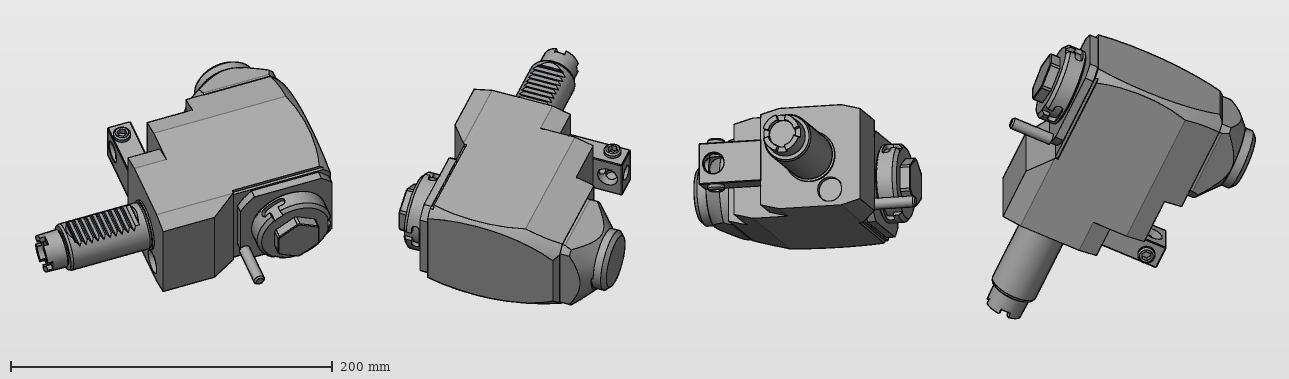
import cadquery as cq
import math


SPINDLE_Y = 85.2
HALF_DEPTH = 32.0
FOOT_HALF_WIDTH = 32.0
TAPER_ANGLE = 15
TAPER_SLOPE = math.tan(math.radians(TAPER_ANGLE))
TOP_Y = 115.2
HEAD_LEFT = -66.8
HEAD_RIGHT = 19.7
HEAD_BOTTOM = 51.2
WAIST_LEFT = -55.0
WAIST_BOTTOM = 21.2
FLAT_LEFT = -42.9
FOOT_FLAT = 20.0
FOOT_SHOULDER = 34.0
HEAD_CHAMFER = 3.3
HEAD_RIM_WIDTH = 1.8
HEAD_RIM_STEP = 1.8
BARREL_CENTER_X = -12.5
BARREL_RADIUS = 42.3
BARREL_ARC_RADIUS = 174.8
PLUG_X = 12.5
PLUG_Z = -21.5
PLUG_RADIUS = 7.7
PLUG_DEPTH = 3.7

CAP_RADIUS = 33.3
CAP_SHOULDER = -73.0
CAP_FACE = -86.3
CAP_RELIEF_DEPTH = 1.1
CAP_TOP = 111.1
CAP_RIM_WIDTH = 1.8
NOSE_END = -94.0
NOSE_RADIUS = 19.3
NOSE_CHAMFER = 2.8

FLANGE_END = 25.0
FLANGE_RADIUS = 36.5
FLANGE_HALF_DEPTH = 28.9
FLANGE_TOP = 114.5
FLANGE_BOTTOM = 53.7
NECK_RADIUS = 23.0
COLLAR_START = 26.0
COLLAR_END = 38.3
COLLAR_RADIUS = 24.5
COLLAR_CHAMFER = 2.2
COLLAR_SLOT_X = 30.2
COLLAR_SLOT_WIDTH = 5.2
COLLAR_SLOT_DEPTH = 2.8
COLLAR_SLOT_HALF_ANGLE = 20.5
COLLAR_SLOT_COUNT = 3
COLLAR_SLOT_START_ANGLE = 30
KEYWAY_WIDTH = 6.3
NUT_END = 44.9
NUT_FLATS = 27.2
NUT_CORNERS = 30.4
NUT_CHAMFER = 0.5

PIN_END = 52.5
PIN_Y = 56.5
PIN_Z = -19.1
PIN_RADIUS = 3.5
PIN_CHAMFER = 1.1

BLOCK_LEFT = -72.3
BLOCK_BOTTOM = 1.1
BLOCK_TOP = 16.4
BLOCK_Y = (BLOCK_BOTTOM + BLOCK_TOP) / 2
BLOCK_HALF_DEPTH = 13.0
BLOCK_CHAMFER = 0.5
PORT_X = -62.7
PORT_RADIUS = 6.6
PORT_CHAMFER = 0.4
SIDE_PORT_RADIUS = 4.8
SIDE_PORT_END = -51.5
SIDE_SOCKET_RADIUS = 1.5
SIDE_SOCKET_DEPTH = 1.8
SCREW_Y = 7.4
SCREW_RADIUS = 5.3
SCREW_TOP = 16.2
SCREW_CHAMFER = 1.1
SCREW_BORE_RADIUS = 4.0
SCREW_BORE_HALF_LENGTH = 8.0
SOCKET_RADIUS = 3.1
SOCKET_DEPTH = 4.0

SHANK_DIAMETER = 30.0
SHANK_RADIUS = SHANK_DIAMETER / 2
SHANK_END = -54.6
SHANK_CHAMFER = 0.7
SHANK_CHAMFER_LENGTH = 1.7
COLLAR_RING_RADIUS = 16.0
COLLAR_RING_HEIGHT = 1.1
SHANK_NECK_STEP = 0.5
SHANK_NECK_END = 2.4
TOOTH_COUNT = 10
TOOTH_ROOT_SPAN = 35.9
TOOTH_PITCH = TOOTH_ROOT_SPAN / (TOOTH_COUNT - 1)
TOOTH_TIP_Z = 12.3
TOOTH_ROOT_Z = 10.5
FIRST_ROOT_Y = -11.5
TOOTH_RISE_RUN = 1.5
TOOTH_TIP_WIDTH = 1.0
RACK_START = -6.0
RACK_FLAT_START = -7.2
RACK_RUNOUT_Z = 13.5
RACK_FLAT_END = -9.8
RACK_END = -52.3

DRIVE_END = -68.8
DRIVE_START = -55.8
DRIVE_NECK_RADIUS = 11
DRIVE_RADIUS = 12.1
DRIVE_TIP_RADIUS = 11.8
DRIVE_BORE_RADIUS = 8.5
DRIVE_BORE_FLOOR = -64.4
DRIVE_SLOT_FLOOR = -65.5
DRIVE_SLOT_INNER_WIDTH = 4.5
DRIVE_SLOT_OUTER_WIDTH = 7.2
DRIVE_SLOT_COUNT = 4


def box(x0, x1, y0, y1, z0, z1):
    return cq.Workplane("XY").box(x1 - x0, y1 - y0, z1 - z0, centered=False).translate((x0, y0, z0))


def cylinder_x(x0, x1, y, z, radius):
    return cq.Workplane("YZ", origin=(x0, y, z)).circle(radius).extrude(x1 - x0)


def cylinder_y(y0, y1, x, z, radius):
    return cq.Workplane("XZ", origin=(x, y1, z)).circle(radius).extrude(y1 - y0)


def revolve_about_spindle(profile):
    """Revolve a closed (x, radius) profile, drawn from the spindle axis, about that axis."""
    plane = cq.Workplane("XY", origin=(0, SPINDLE_Y, 0))
    return plane.polyline(profile).close().revolve(360, (0, 0, 0), (1, 0, 0))


def tapered_depth(x):
    """Half depth of the left taper at position x."""
    return HALF_DEPTH - (FLAT_LEFT - x) * TAPER_SLOPE


def tapered_prism(edges, y0, y1):
    """A prism along Y, symmetric about Z = 0, through (x, half depth) edges listed from left to right."""
    mirrored = [(x, -z) for x, z in reversed(edges)]
    return cq.Workplane("XZ", origin=(0, y1, 0)).polyline(edges + mirrored).close().extrude(y1 - y0)


def make_head():
    rim_start = HEAD_RIGHT - HEAD_RIM_WIDTH
    rim_depth = HALF_DEPTH - HEAD_RIM_STEP
    left_edge = (HEAD_LEFT, tapered_depth(HEAD_LEFT))
    rim_edge = (rim_start, HALF_DEPTH)
    head = tapered_prism([left_edge, (FLAT_LEFT, HALF_DEPTH), rim_edge], HEAD_BOTTOM, TOP_Y)
    head = head.union(box(rim_start, HEAD_RIGHT, HEAD_BOTTOM, TOP_Y, -rim_depth, rim_depth))
    head = head.intersect(
        cq.Workplane("XY", origin=(0, 0, -HALF_DEPTH))
        .moveTo(HEAD_LEFT, HEAD_BOTTOM)
        .lineTo(HEAD_LEFT, TOP_Y - HEAD_CHAMFER)
        .lineTo(HEAD_LEFT + HEAD_CHAMFER, TOP_Y)
        .lineTo(HEAD_RIGHT, TOP_Y)
        .lineTo(HEAD_RIGHT, HEAD_BOTTOM)
        .close()
        .extrude(2 * HALF_DEPTH)
    )
    below_spindle = box(HEAD_LEFT, HEAD_RIGHT, HEAD_BOTTOM, SPINDLE_Y, -HALF_DEPTH, HALF_DEPTH)
    return head.intersect(make_barrel().union(below_spindle))


def make_barrel():
    """A barrel about the spindle axis that rounds the upper corners of the head."""

    def radius_at(x):
        sag = BARREL_ARC_RADIUS - math.sqrt(BARREL_ARC_RADIUS**2 - (x - BARREL_CENTER_X) ** 2)
        return BARREL_RADIUS - sag

    return (
        cq.Workplane("XY", origin=(0, SPINDLE_Y, 0))
        .moveTo(HEAD_LEFT, 0)
        .lineTo(HEAD_LEFT, radius_at(HEAD_LEFT))
        .threePointArc((BARREL_CENTER_X, BARREL_RADIUS), (HEAD_RIGHT, radius_at(HEAD_RIGHT)))
        .lineTo(HEAD_RIGHT, 0)
        .close()
        .revolve(360, (0, 0, 0), (1, 0, 0))
    )


def make_housing():
    foot_depth = HALF_DEPTH - (FOOT_HALF_WIDTH - FOOT_FLAT) * TAPER_SLOPE
    right_side = [(FOOT_FLAT, HALF_DEPTH), (FOOT_HALF_WIDTH, foot_depth)]
    foot_left = [(-x, z) for x, z in reversed(right_side)]
    waist_left = [(WAIST_LEFT, tapered_depth(WAIST_LEFT)), (FLAT_LEFT, HALF_DEPTH)]
    waist = tapered_prism(waist_left + right_side, WAIST_BOTTOM, HEAD_BOTTOM)
    foot = tapered_prism(foot_left + right_side, 0, WAIST_BOTTOM)
    shoulder_cut = (
        cq.Workplane("XY", origin=(0, 0, -HALF_DEPTH))
        .moveTo(HEAD_RIGHT, HEAD_BOTTOM)
        .lineTo(FOOT_HALF_WIDTH, HEAD_BOTTOM)
        .lineTo(FOOT_HALF_WIDTH, FOOT_SHOULDER)
        .close()
        .extrude(2 * HALF_DEPTH)
    )
    plug_hole = cylinder_y(0, PLUG_DEPTH, PLUG_X, PLUG_Z, PLUG_RADIUS)
    return make_head().union(waist.cut(shoulder_cut)).union(foot).cut(plug_hole)


def make_cap():
    cap = revolve_about_spindle([
        (HEAD_LEFT, 0),
        (HEAD_LEFT, CAP_RADIUS),
        (CAP_SHOULDER, CAP_RADIUS),
        (CAP_FACE, NOSE_RADIUS),
        (CAP_FACE, 0),
    ])
    rim_start = HEAD_LEFT - CAP_RIM_WIDTH
    edges = [
        (CAP_FACE, tapered_depth(CAP_FACE)),
        (rim_start, tapered_depth(rim_start)),
        (HEAD_LEFT, tapered_depth(rim_start)),
    ]
    envelope = tapered_prism(edges, HEAD_BOTTOM, CAP_TOP)
    nose = cylinder_x(NOSE_END, CAP_FACE, SPINDLE_Y, 0, NOSE_RADIUS).faces("<X").chamfer(NOSE_CHAMFER)
    relief_end = CAP_FACE + CAP_RELIEF_DEPTH
    relief = box(CAP_FACE, relief_end, HEAD_BOTTOM, CAP_TOP, -CAP_RADIUS, 0)
    relief = relief.cut(cylinder_x(CAP_FACE, relief_end, SPINDLE_Y, 0, NOSE_RADIUS))
    return cap.intersect(envelope).cut(relief).union(nose)


def make_flange():
    flange = cylinder_x(HEAD_RIGHT, FLANGE_END, SPINDLE_Y, 0, FLANGE_RADIUS)
    envelope = box(
        HEAD_RIGHT, FLANGE_END, FLANGE_BOTTOM, FLANGE_TOP, -FLANGE_HALF_DEPTH, FLANGE_HALF_DEPTH
    )
    return flange.intersect(envelope)


def make_collar_slot():
    """A round-ended slot along the rim at the +Z side, with a keyway leading to the front face."""
    floor_radius = COLLAR_RADIUS - COLLAR_SLOT_DEPTH
    end_inset = math.degrees(COLLAR_SLOT_WIDTH / 2 / COLLAR_RADIUS)
    slot_start = COLLAR_SLOT_X - COLLAR_SLOT_WIDTH / 2
    end_angle = COLLAR_SLOT_HALF_ANGLE - end_inset
    half_width = COLLAR_RADIUS * math.tan(math.radians(end_angle))
    slot = (
        cq.Workplane("YZ", origin=(slot_start, 0, 0))
        .polyline([
            (0, 0),
            (half_width, COLLAR_RADIUS),
            (half_width, 2 * COLLAR_RADIUS),
            (-half_width, 2 * COLLAR_RADIUS),
            (-half_width, COLLAR_RADIUS),
        ])
        .close()
        .extrude(COLLAR_SLOT_WIDTH)
    )
    for angle in (-end_angle, end_angle):
        round_end = (
            cq.Workplane("XY")
            .center(COLLAR_SLOT_X, 0)
            .circle(COLLAR_SLOT_WIDTH / 2)
            .extrude(2 * COLLAR_RADIUS)
            .rotate((0, 0, 0), (1, 0, 0), angle)
        )
        slot = slot.union(round_end)
    keyway = box(COLLAR_SLOT_X, COLLAR_END, -KEYWAY_WIDTH / 2, KEYWAY_WIDTH / 2, 0, 2 * COLLAR_RADIUS)
    core = cylinder_x(slot_start, COLLAR_END, 0, 0, floor_radius)
    return slot.union(keyway).cut(core)


def make_collar():
    neck = cylinder_x(FLANGE_END, COLLAR_START, SPINDLE_Y, 0, NECK_RADIUS)
    collar = cylinder_x(COLLAR_START, COLLAR_END, SPINDLE_Y, 0, COLLAR_RADIUS)
    collar = collar.faces(">X").chamfer(COLLAR_CHAMFER)
    slot = make_collar_slot()
    for index in range(COLLAR_SLOT_COUNT):
        angle = COLLAR_SLOT_START_ANGLE + index * 360 / COLLAR_SLOT_COUNT
        collar = collar.cut(slot.rotate((0, 0, 0), (1, 0, 0), angle).translate((0, SPINDLE_Y, 0)))
    return neck.union(collar)


def make_nut():
    """A hexagon with flats facing +-Y and its corners cut off by a second hexagon."""

    def hexagon(across_flats, turn):
        diameter = across_flats / math.cos(math.radians(30))
        prism = cq.Workplane("YZ").polygon(6, diameter).extrude(NUT_END - COLLAR_END)
        return prism.faces(">X").chamfer(NUT_CHAMFER).rotate((0, 0, 0), (1, 0, 0), turn)

    nut = hexagon(NUT_FLATS, 30).intersect(hexagon(NUT_CORNERS, 0))
    return nut.translate((COLLAR_END, SPINDLE_Y, 0))


def make_pin():
    return cylinder_x(FLANGE_END, PIN_END, PIN_Y, PIN_Z, PIN_RADIUS).faces(">X").chamfer(PIN_CHAMFER)


def make_block():
    block = box(BLOCK_LEFT, -FOOT_HALF_WIDTH, BLOCK_BOTTOM, BLOCK_TOP, -BLOCK_HALF_DEPTH, BLOCK_HALF_DEPTH)
    block = block.edges("|X").chamfer(BLOCK_CHAMFER).faces("<X").chamfer(BLOCK_CHAMFER)
    screws = (
        cq.Workplane("XY", origin=(PORT_X, SCREW_Y, -SCREW_TOP))
        .circle(SCREW_RADIUS)
        .extrude(2 * SCREW_TOP)
        .faces("<Z or >Z")
        .chamfer(SCREW_CHAMFER)
    )
    block = block.union(screws)
    port = cylinder_y(BLOCK_BOTTOM, BLOCK_TOP, PORT_X, 0, PORT_RADIUS)
    side_port = cylinder_x(BLOCK_LEFT, SIDE_PORT_END, BLOCK_Y, 0, SIDE_PORT_RADIUS)
    side_socket = cylinder_x(
        SIDE_PORT_END, SIDE_PORT_END + SIDE_SOCKET_DEPTH, BLOCK_Y, 0, SIDE_SOCKET_RADIUS
    )
    screw_bore = (
        cq.Workplane("XY", origin=(PORT_X, SCREW_Y, -SCREW_BORE_HALF_LENGTH))
        .circle(SCREW_BORE_RADIUS)
        .extrude(2 * SCREW_BORE_HALF_LENGTH)
    )
    block = block.cut(port)
    port_edge = cq.selectors.BoxSelector(
        (PORT_X - PORT_RADIUS, BLOCK_BOTTOM - PORT_CHAMFER, -PORT_RADIUS),
        (PORT_X + PORT_RADIUS, BLOCK_BOTTOM + PORT_CHAMFER, PORT_RADIUS),
    )
    block = block.edges(port_edge).chamfer(PORT_CHAMFER)
    block = block.cut(side_port).cut(side_socket).cut(screw_bore)
    for start in (SCREW_TOP - SOCKET_DEPTH, -SCREW_TOP):
        socket = (
            cq.Workplane("XY", origin=(PORT_X, SCREW_Y, start))
            .polygon(6, 2 * SOCKET_RADIUS)
            .extrude(SOCKET_DEPTH)
        )
        block = block.cut(socket)
    return block


def make_rack_cut():
    """The space above the serrations, as a prism along X."""
    outline = [
        (RACK_START, SHANK_RADIUS),
        (RACK_FLAT_START, RACK_RUNOUT_Z),
        (RACK_FLAT_START, TOOTH_TIP_Z),
        (RACK_FLAT_END, TOOTH_TIP_Z),
    ]
    for index in range(TOOTH_COUNT):
        root_y = FIRST_ROOT_Y - index * TOOTH_PITCH
        tip_start = root_y - TOOTH_RISE_RUN
        tip_end = tip_start - TOOTH_TIP_WIDTH
        outline += [(root_y, TOOTH_ROOT_Z), (tip_start, TOOTH_TIP_Z), (tip_end, TOOTH_TIP_Z)]
    outline += [(tip_end, RACK_RUNOUT_Z), (RACK_END, SHANK_RADIUS)]
    return (
        cq.Workplane("YZ", origin=(-SHANK_RADIUS, 0, 0))
        .polyline(outline)
        .close()
        .extrude(2 * SHANK_RADIUS)
    )


def make_shank():
    profile = [
        (0, 0),
        (COLLAR_RING_RADIUS, 0),
        (COLLAR_RING_RADIUS, -COLLAR_RING_HEIGHT),
        (SHANK_RADIUS - SHANK_NECK_STEP, -COLLAR_RING_HEIGHT),
        (SHANK_RADIUS, -SHANK_NECK_END),
        (SHANK_RADIUS, SHANK_END + SHANK_CHAMFER_LENGTH),
        (SHANK_RADIUS - SHANK_CHAMFER, SHANK_END),
        (DRIVE_NECK_RADIUS, SHANK_END),
        (DRIVE_NECK_RADIUS, DRIVE_START),
        (DRIVE_RADIUS, DRIVE_START),
        (DRIVE_TIP_RADIUS, DRIVE_END),
        (0, DRIVE_END),
    ]
    shank = cq.Workplane("XY").polyline(profile).close().revolve(360, (0, 0, 0), (0, 1, 0))
    shank = shank.cut(make_rack_cut())
    shank = shank.cut(cylinder_y(DRIVE_END, DRIVE_BORE_FLOOR, 0, 0, DRIVE_BORE_RADIUS))
    inner = DRIVE_SLOT_INNER_WIDTH / 2
    outer = DRIVE_SLOT_OUTER_WIDTH / 2
    slot = (
        cq.Workplane("XZ", origin=(0, DRIVE_SLOT_FLOOR, 0))
        .polyline([
            (-inner, 0),
            (-inner, DRIVE_BORE_RADIUS),
            (-outer, DRIVE_RADIUS),
            (outer, DRIVE_RADIUS),
            (inner, DRIVE_BORE_RADIUS),
            (inner, 0),
        ])
        .close()
        .extrude(DRIVE_SLOT_FLOOR - DRIVE_END)
    )
    for index in range(DRIVE_SLOT_COUNT):
        shank = shank.cut(slot.rotate((0, 0, 0), (0, 1, 0), index * 360 / DRIVE_SLOT_COUNT))
    return shank


result = make_housing()
for piece in (make_cap(), make_flange(), make_collar(), make_nut(), make_pin(), make_block(), make_shank()):
    result = result.union(piece)